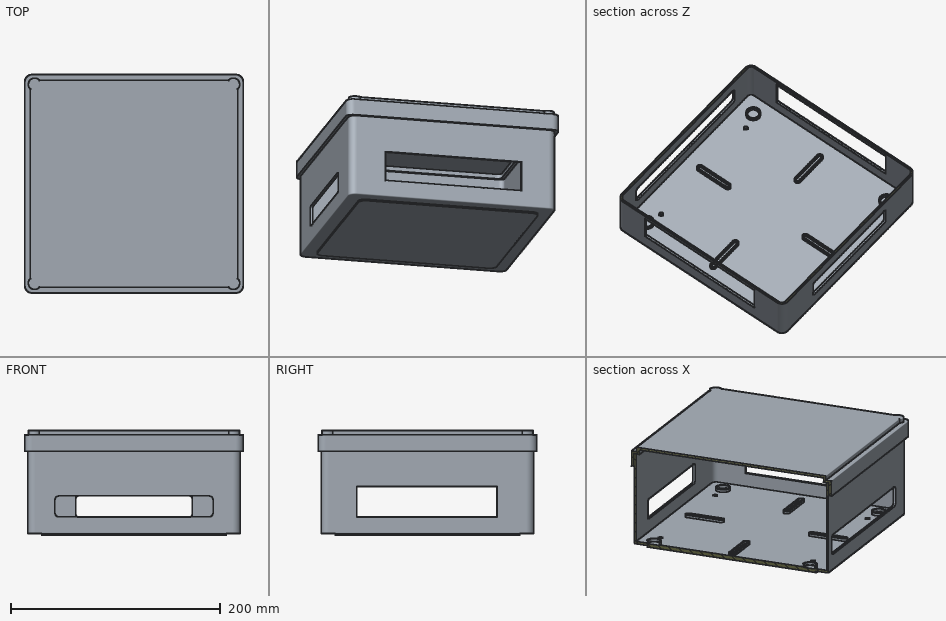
import cadquery as cq

lid_width = 208.26
lid_corner_radius = 7.0
lid_edge_round = 0.55
lid_bottom = 80.0
lid_shoulder = 95.7
lid_top = 100.07
panel_half_width = 98.7
panel_lobe_radius = 6.0
panel_lobe_centre = 94.65
panel_edge_round = 0.7

base_width = 202.6
base_corner_radius = 7.0
base_bottom = 1.5
base_edge_round = 1.1
wall = 2.4
floor_top = 4.5
inner_corner_radius = base_corner_radius - wall
lid_wall = (lid_width - base_width) / 2
base_top = lid_shoulder - lid_wall

foot_width = 176.0
foot_corner_radius = 7.0

opening_bottom = 17.5
front_opening_width = 150.7
front_opening_radius = 4.0
rear_opening_width = 110.7
rear_opening_radius = 2.3
end_opening_height = 20.0
side_opening_width = 133.4
side_opening_height = 28.8
side_opening_offset = -0.6

rim_thickness = 1.2
ring_diameter = 14.0
ring_height = 2.6
ring_recess_depth = 0.5
ring_offset = 81.2
slot_rim_width = 6.2
slot_rim_height = 2.4
slot_rim_length = 40.0
slot_rim_outer_end = 84.3
floor_hole_diameter = 4.3
floor_hole_depth = floor_top - base_bottom
floor_hole_spacing_y = 158.8
floor_hole_spacing_x = 128.8
floor_hole_centre_y = 2.5


def rounded_block(width, corner_radius, bottom, top):
    """Square block centred on Z with rounded upright corners."""
    block = cq.Workplane("XY").workplane(offset=bottom).rect(width, width).extrude(top - bottom)
    return block.edges("|Z").fillet(corner_radius)


def raised_panel():
    """Square panel with a round lobe at each corner."""
    height = lid_top - lid_shoulder
    panel = cq.Workplane("XY").workplane(offset=lid_shoulder)
    lobes = panel.rect(2 * panel_lobe_centre, 2 * panel_lobe_centre, forConstruction=True).vertices()
    lobes = lobes.circle(panel_lobe_radius).extrude(height)
    sides = 2 * panel_half_width
    core = panel.rect(sides, 2 * panel_lobe_centre).extrude(height)
    core = core.union(panel.rect(2 * panel_lobe_centre, sides).extrude(height))
    return core.union(lobes).faces(">Z").edges().fillet(panel_edge_round)


def make_lid():
    """Hollow cap whose skirt wraps around the top of the base."""
    cap = rounded_block(lid_width, lid_corner_radius, lid_bottom, lid_shoulder)
    lid = cap.faces(">Z").edges().fillet(lid_edge_round).union(raised_panel())
    seat = rounded_block(base_width, base_corner_radius, lid_bottom, base_top)
    hollow_width = 2 * (panel_half_width - lid_wall)
    hollow = rounded_block(hollow_width, inner_corner_radius, base_top, lid_top - lid_wall)
    return lid.cut(seat).cut(hollow)


def wall_opening(plane, width, height, corner_radius, offset, wall_position):
    """Cutter for one wall, centred on that wall and reaching through it."""
    middle = opening_bottom + height / 2
    cutter = cq.Workplane(plane).center(offset, middle).rect(width, height).extrude(2 * wall, both=True)
    if corner_radius:
        along = "|Y" if plane == "XZ" else "|X"
        cutter = cutter.edges(along).fillet(corner_radius)
    return cutter.translate(wall_position)


def floor_ring(x, y):
    """Raised round rim on the floor."""
    ring = cq.Workplane("XY").workplane(offset=floor_top).center(x, y)
    return ring.circle(ring_diameter / 2).circle(ring_diameter / 2 - rim_thickness).extrude(ring_height)


def slot_rim(angle):
    """Raised rim around a slot shape that points away from the centre."""
    rim = cq.Workplane("XY").workplane(offset=floor_top)
    rim = rim.center(slot_rim_outer_end - slot_rim_length / 2, 0)
    outer = rim.slot2D(slot_rim_length, slot_rim_width).extrude(slot_rim_height)
    inner = rim.slot2D(slot_rim_length - 2 * rim_thickness, slot_rim_width - 2 * rim_thickness)
    return outer.cut(inner.extrude(slot_rim_height)).rotate((0, 0, 0), (0, 0, 1), angle)


def make_base():
    """Open-topped box with openings in all four walls, closed by the lid."""
    base = rounded_block(base_width, base_corner_radius, base_bottom, base_top)
    base = base.faces("<Z").edges().fillet(base_edge_round)
    base = base.union(rounded_block(foot_width, foot_corner_radius, 0, base_bottom))
    base = base.cut(rounded_block(base_width - 2 * wall, inner_corner_radius, floor_top, base_top))

    wall_centre = (base_width - wall) / 2
    base = base.cut(wall_opening("XZ", front_opening_width, end_opening_height, front_opening_radius, 0,
                                 (0, -wall_centre, 0)))
    base = base.cut(wall_opening("XZ", rear_opening_width, end_opening_height, rear_opening_radius, 0,
                                 (0, wall_centre, 0)))
    for side in (-1, 1):
        base = base.cut(wall_opening("YZ", side_opening_width, side_opening_height, 0, side_opening_offset,
                                     (side * wall_centre, 0, 0)))

    for x in (-1, 1):
        for y in (-1, 1):
            base = base.union(floor_ring(x * ring_offset, y * ring_offset))
    for angle in (0, 90, 180, 270):
        base = base.union(slot_rim(angle))

    recesses = cq.Workplane("XY").workplane(offset=floor_top)
    recesses = recesses.rect(2 * ring_offset, 2 * ring_offset, forConstruction=True).vertices()
    base = base.cut(recesses.circle(ring_diameter / 2 - rim_thickness).extrude(-ring_recess_depth))

    holes = cq.Workplane("XY").workplane(offset=floor_top).center(0, floor_hole_centre_y)
    holes = holes.rect(floor_hole_spacing_x, floor_hole_spacing_y, forConstruction=True).vertices()
    return base.cut(holes.circle(floor_hole_diameter / 2).extrude(-floor_hole_depth))


lid = make_lid()
base = make_base()
result = cq.Compound.makeCompound([lid.val(), base.val()])